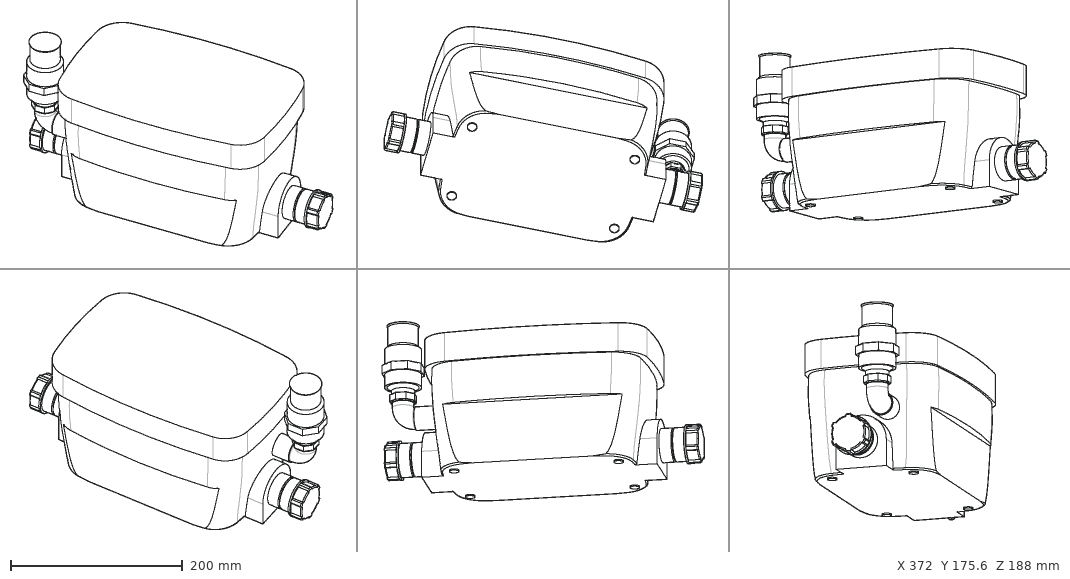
import cadquery as cq
import math

corner_radius = 33.5
side_tilt = math.radians(7.1)

lid_half_x = 135.0
lid_half_y = 87.8
lid_bottom_z = 124.0
lid_height = 35.0

tank_sections = [
    (2.0, 116.8, 80.0),
    (39.0, 121.3, 83.5),
    (74.5, 125.5, 85.0),
    (100.5, 127.0, 86.0),
    (lid_bottom_z, 127.0, 85.2),
]
base_chamfer = 2.0
flat_half_y = 74.5
flat_top_z = 73.5
tank_cut_margin = 37.2

foot_diameter = 11.0
foot_height = 1.5
foot_x = 97.5
foot_y = 50.2

boss_radius = 31.0
boss_end_x = 139.5

inlet_z = 31.5
pipe_radius = 20.0
groove_x = 154.8
groove_width = 2.2
groove_depth = 1.0
cap_flange_x = 169.3
cap_flange_thickness = 2.2
cap_flange_radius = 23.0
cap_radius = 21.0
cap_end_x = 186.0
cap_chamfer = 1.5
lug_count = 6
lug_base_width = 6.7
lug_tip_width = 4.0
lug_radius = cap_flange_radius
lug_base_z = 20.5
lug_angle = 360.0 / lug_count

riser_x = -162.2
riser_y = -27.5
outlet_z = 73.0
outlet_diameter = 28.0
outlet_end_x = -147.0
outlet_root_x = -111.5
elbow_diameter = 25.3
elbow_bend_radius = 14.0
elbow_top_z = outlet_z + elbow_bend_radius
nut_bottom_z = 92.3
nut_top_z = 102.0
nut_flats = 29.5
nut_chamfer = 1.5
neck_radius = 13.8
valve_cone_z = 107.5
valve_bottom_z = 111.5
valve_cone_radius = 18.5
valve_radius = 21.5
valve_hex_bottom_z = 127.2
valve_hex_top_z = 137.3
valve_flats = 46.5
shoulder_bottom_z = 157.7
shoulder_top_z = 161.0
hose_radius = 18.0
rim_bottom_z = 184.5
rim_radius = 19.0
riser_top_z = 186.5
octagon_sides = 8


def plan_outline(z, half_x, half_y):
    """Rectangle at height z with bowed sides and tangent corner arcs."""
    along = corner_radius * math.cos(side_tilt)
    across = corner_radius * math.sin(side_tilt)
    bow = math.tan(side_tilt / 2)
    reach_x = half_x - along - bow * across
    reach_y = half_y - along - bow * across
    center_x = (reach_x - bow * reach_y) / (1 - bow**2)
    center_y = reach_y - bow * center_x

    long_x, long_y = center_x + across, center_y + along
    short_x, short_y = center_x + along, center_y + across
    mid_x = center_x + corner_radius * math.sqrt(0.5)
    mid_y = center_y + corner_radius * math.sqrt(0.5)
    return (
        cq.Workplane("XY", origin=(0, 0, z))
        .moveTo(-long_x, -long_y)
        .threePointArc((0, -half_y), (long_x, -long_y))
        .threePointArc((mid_x, -mid_y), (short_x, -short_y))
        .threePointArc((half_x, 0), (short_x, short_y))
        .threePointArc((mid_x, mid_y), (long_x, long_y))
        .threePointArc((0, half_y), (-long_x, long_y))
        .threePointArc((-mid_x, mid_y), (-short_x, short_y))
        .threePointArc((-half_x, 0), (-short_x, -short_y))
        .threePointArc((-mid_x, -mid_y), (-long_x, -long_y))
        .close()
    )


def outline_wire(z, half_x, half_y):
    return plan_outline(z, half_x, half_y).wire().val()


def z_cylinder(x, y, bottom_z, height, radius):
    return cq.Workplane("XY", origin=(x, y, bottom_z)).circle(radius).extrude(height)


def make_lid():
    return plan_outline(lid_bottom_z, lid_half_x, lid_half_y).extrude(lid_height)


def make_tank():
    wall = cq.Solid.makeLoft([outline_wire(*section) for section in tank_sections])
    base_z, base_half_x, base_half_y = tank_sections[0]
    base = cq.Solid.makeLoft(
        [
            outline_wire(base_z - base_chamfer, base_half_x - base_chamfer, base_half_y - base_chamfer),
            outline_wire(base_z, base_half_x, base_half_y),
        ],
        True,
    )
    tank = cq.Workplane(wall).union(cq.Workplane(base))

    for side in (-1, 1):
        cutter = cq.Workplane("XY").box(
            2 * lid_half_x, tank_cut_margin, flat_top_z, centered=(True, True, False)
        )
        tank = tank.cut(cutter.translate((0, side * (flat_half_y + tank_cut_margin / 2), 0)))

    boss = (
        cq.Workplane("YZ", origin=(-boss_end_x, 0, 0))
        .moveTo(-boss_radius, 0)
        .lineTo(boss_radius, 0)
        .lineTo(boss_radius, inlet_z)
        .threePointArc((0, inlet_z + boss_radius), (-boss_radius, inlet_z))
        .close()
        .extrude(2 * boss_end_x)
    )
    tank = tank.union(boss)

    outlet = (
        cq.Workplane("YZ", origin=(outlet_end_x, riser_y, outlet_z))
        .circle(outlet_diameter / 2)
        .extrude(outlet_root_x - outlet_end_x)
    )
    tank = tank.union(outlet)

    for x in (-foot_x, foot_x):
        for y in (-foot_y, foot_y):
            tank = tank.union(z_cylinder(x, y, -foot_height, foot_height, foot_diameter / 2))
    return tank


def make_inlet(side):
    """Grooved pipe and lugged cap on the boss face at +X (side 1) or -X (side -1)."""
    cap_start_x = cap_flange_x + cap_flange_thickness
    inlet = (
        cq.Workplane("XY")
        .moveTo(boss_end_x, 0)
        .lineTo(boss_end_x, pipe_radius)
        .lineTo(groove_x - groove_width / 2, pipe_radius)
        .lineTo(groove_x, pipe_radius - groove_depth)
        .lineTo(groove_x + groove_width / 2, pipe_radius)
        .lineTo(cap_flange_x, pipe_radius)
        .lineTo(cap_flange_x, cap_flange_radius)
        .lineTo(cap_start_x, cap_flange_radius)
        .lineTo(cap_start_x, cap_radius)
        .lineTo(cap_end_x - cap_chamfer, cap_radius)
        .lineTo(cap_end_x, cap_radius - cap_chamfer)
        .lineTo(cap_end_x, 0)
        .close()
        .revolve(360, (0, 0, 0), (1, 0, 0))
    )
    lug = (
        cq.Workplane("YZ", origin=(cap_start_x, 0, 0))
        .moveTo(-lug_base_width / 2, 0)
        .lineTo(lug_base_width / 2, 0)
        .lineTo(lug_base_width / 2, lug_base_z)
        .lineTo(lug_tip_width / 2, lug_radius)
        .lineTo(-lug_tip_width / 2, lug_radius)
        .lineTo(-lug_base_width / 2, lug_base_z)
        .close()
        .extrude(cap_end_x - cap_start_x)
        .edges(">X and >Z")
        .chamfer(cap_chamfer)
    )
    for index in range(lug_count):
        inlet = inlet.union(lug.rotate((0, 0, 0), (1, 0, 0), index * lug_angle))
    if side < 0:
        inlet = inlet.mirror("YZ")
    return inlet.translate((0, 0, inlet_z))


def octagon(bottom_z, top_z, flats):
    corner_diameter = flats / math.cos(math.pi / octagon_sides)
    return (
        cq.Workplane("XY")
        .polygon(octagon_sides, corner_diameter)
        .extrude(top_z - bottom_z)
        .rotate((0, 0, 0), (0, 0, 1), 180 / octagon_sides)
        .translate((riser_x, riser_y, bottom_z))
    )


def make_discharge():
    bend_x = riser_x + elbow_bend_radius
    path = (
        cq.Workplane("XZ", origin=(0, riser_y, 0))
        .moveTo(outlet_end_x, outlet_z)
        .lineTo(bend_x, outlet_z)
        .radiusArc((riser_x, elbow_top_z), elbow_bend_radius)
        .lineTo(riser_x, nut_bottom_z)
    )
    elbow = (
        cq.Workplane("YZ", origin=(outlet_end_x, riser_y, outlet_z))
        .circle(elbow_diameter / 2)
        .sweep(path)
    )

    riser = (
        cq.Workplane("XZ")
        .moveTo(0, nut_bottom_z)
        .lineTo(neck_radius, nut_bottom_z)
        .lineTo(neck_radius, valve_cone_z)
        .lineTo(valve_cone_radius, valve_bottom_z)
        .lineTo(valve_radius, valve_bottom_z)
        .lineTo(valve_radius, shoulder_bottom_z)
        .lineTo(hose_radius, shoulder_top_z)
        .lineTo(hose_radius, rim_bottom_z)
        .lineTo(rim_radius, riser_top_z)
        .lineTo(0, riser_top_z)
        .close()
        .revolve(360, (0, 0, 0), (0, 1, 0))
        .translate((riser_x, riser_y, 0))
    )

    nut = octagon(nut_bottom_z, nut_top_z, nut_flats).faces("<Z").chamfer(nut_chamfer)
    valve_grip = octagon(valve_hex_bottom_z, valve_hex_top_z, valve_flats)
    return elbow.union(riser).union(nut).union(valve_grip)


lid = make_lid()
tank = make_tank()
inlets = [make_inlet(side) for side in (-1, 1)]
discharge = make_discharge()

result = cq.Compound.makeCompound(
    [lid.val(), tank.val(), *[inlet.val() for inlet in inlets], discharge.val()]
)